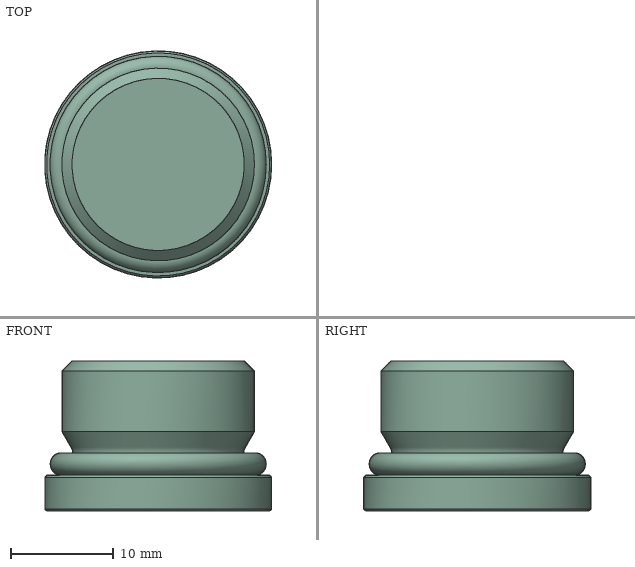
import cadquery as cq
import math

flange_diameter = 22.22
flange_height = 3.5
flange_chamfer = 0.2
neck_diameter = 16.75
body_diameter = 18.85
body_bottom = 7.78
plug_height = 14.7
top_chamfer = 1.0
cone_angle = 30.0
neck_fillet = 1.0

ring_section = 2.2

flange_radius = flange_diameter / 2
neck_radius = neck_diameter / 2
body_radius = body_diameter / 2
cone_height = (body_radius - neck_radius) / math.tan(math.radians(cone_angle))
neck_top = body_bottom - cone_height


def make_plug():
    """Revolve the stepped profile, with a tangent arc between neck and cone."""
    angle = math.radians(cone_angle)
    tangent_length = neck_fillet * math.tan(angle / 2)
    arc_start = (neck_radius, neck_top - tangent_length)
    arc_end = (
        neck_radius + tangent_length * math.sin(angle),
        neck_top + tangent_length * math.cos(angle),
    )
    return (
        cq.Workplane("XZ")
        .lineTo(flange_radius - flange_chamfer, 0)
        .lineTo(flange_radius, flange_chamfer)
        .lineTo(flange_radius, flange_height - flange_chamfer)
        .lineTo(flange_radius - flange_chamfer, flange_height)
        .lineTo(neck_radius, flange_height)
        .lineTo(*arc_start)
        .tangentArcPoint(arc_end, relative=False)
        .lineTo(body_radius, body_bottom)
        .lineTo(body_radius, plug_height - top_chamfer)
        .lineTo(body_radius - top_chamfer, plug_height)
        .lineTo(0, plug_height)
        .close()
        .revolve(360, (0, 0), (0, 1))
    )


def make_seal_ring():
    """Round-section ring touching the neck and the top of the flange."""
    section_radius = ring_section / 2
    center_radius = neck_radius + section_radius
    return (
        cq.Workplane("XZ")
        .center(center_radius, flange_height + section_radius)
        .circle(section_radius)
        .revolve(360, (-center_radius, 0), (-center_radius, 1))
    )


plug = make_plug()
seal_ring = make_seal_ring()

result = cq.Compound.makeCompound([plug.val(), seal_ring.val()])